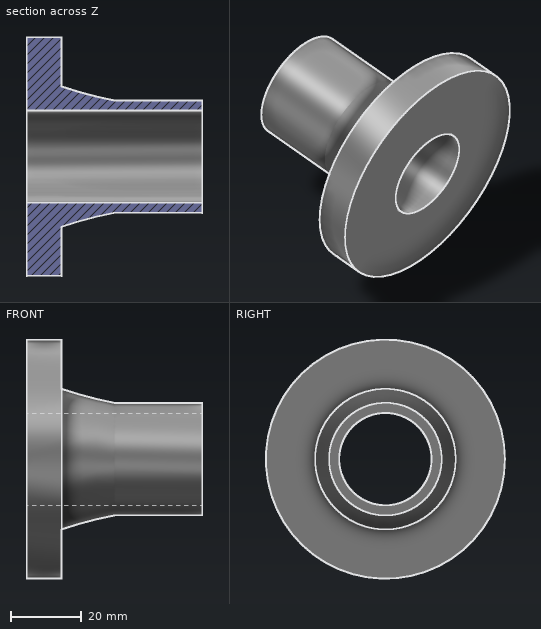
import cadquery as cq

flange_diameter = 68.0
flange_thickness = 10.0
hub_diameter = 40.0
hub_end = 25.0
neck_diameter = 32.0
total_length = 50.0
bore_diameter = 26.2
hub_sag = 0.3

flange_radius = flange_diameter / 2
hub_radius = hub_diameter / 2
neck_radius = neck_diameter / 2
bore_radius = bore_diameter / 2

half_section = (
    cq.Workplane("XY")
    .moveTo(0, bore_radius)
    .lineTo(0, flange_radius)
    .lineTo(flange_thickness, flange_radius)
    .lineTo(flange_thickness, hub_radius)
    .sagittaArc((hub_end, neck_radius), -hub_sag)
    .lineTo(total_length, neck_radius)
    .lineTo(total_length, bore_radius)
    .close()
)

result = half_section.revolve(360, (0, 0, 0), (1, 0, 0))